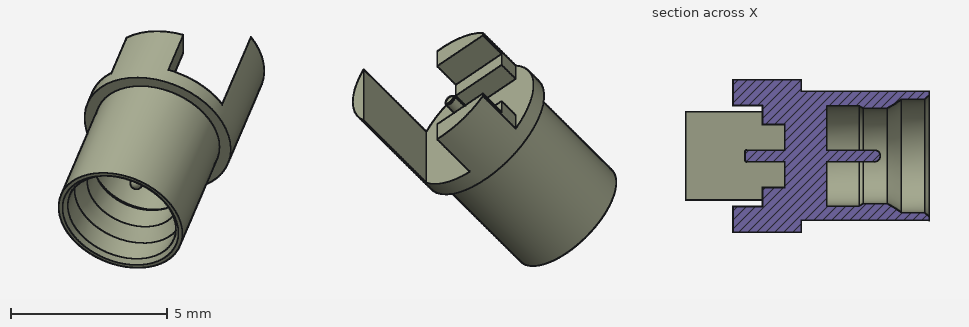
import cadquery as cq

overall_length = 7.8

flange_radius = 2.45
barrel_radius = 2.075
flange_front = 4.095
flange_back = 4.63

mouth_radius = 1.94
entry_radius = 1.81
bore_radius = 1.52
lead_in_depth = 0.15
taper_start = 0.89
taper_end = 1.35
undercut_start = 2.12
undercut_cone_end = 2.25
undercut_radius = 1.6
bore_depth = 3.275

pin_radius = 0.195
pin_front = 1.56
pin_back = 5.905
pin_chamfer = 0.04

plate_inner_x = 2.0

leg_left = -1.71
leg_right = 0.195
leg_back = 6.29
leg_inner_z = 1.615
shoulder_back = 5.34
shoulder_inner_z = 1.01


def cylinder(radius, start, end):
    """Solid cylinder on the Y axis between two Y positions."""
    return cq.Workplane("XZ", origin=(0, start, 0)).circle(radius).extrude(start - end)


def rim_block(x_range, z_range, end):
    """Part of the flange cylinder inside an X-Z window, running from the flange back to end."""
    x_min, x_max = x_range
    z_min, z_max = z_range
    window = cq.Workplane("XY").box(
        x_max - x_min, end - flange_back, z_max - z_min, centered=False
    ).translate((x_min, flange_back, z_min))
    return cylinder(flange_radius, flange_front, end).intersect(window)


def bore():
    """Mouth lead-in, straight entry, taper, inner bore and flared undercut as one revolved void."""
    return (
        cq.Workplane("XY")
        .polyline([
            (0, 0),
            (mouth_radius, 0),
            (entry_radius, lead_in_depth),
            (entry_radius, taper_start),
            (bore_radius, taper_end),
            (bore_radius, undercut_start),
            (undercut_radius, undercut_cone_end),
            (undercut_radius, bore_depth),
            (0, bore_depth),
        ])
        .close()
        .revolve(360, (0, 0, 0), (0, 1, 0))
    )


def pin():
    """Centre pin with a hemispherical front tip and a chamfered back end."""
    tip_centre = pin_front + pin_radius
    shank = cylinder(pin_radius, tip_centre, pin_back).faces(">Y").chamfer(pin_chamfer)
    tip = cq.Workplane("XY").sphere(pin_radius).translate((0, tip_centre, 0))
    return shank.union(tip)


def leg():
    """Upper leg with the deeper, shorter shoulder beneath it."""
    x_range = (leg_left, leg_right)
    long_part = rim_block(x_range, (leg_inner_z, flange_radius), leg_back)
    shoulder = rim_block(x_range, (shoulder_inner_z, flange_radius), shoulder_back)
    return long_part.union(shoulder)


body = cylinder(barrel_radius, 0, flange_front).union(cylinder(flange_radius, flange_front, flange_back))
body = body.cut(bore())

plate = rim_block((plate_inner_x, flange_radius), (-flange_radius, flange_radius), overall_length)
upper_leg = leg()
lower_leg = upper_leg.mirror("XY")

result = body.union(plate).union(upper_leg).union(lower_leg).union(pin())